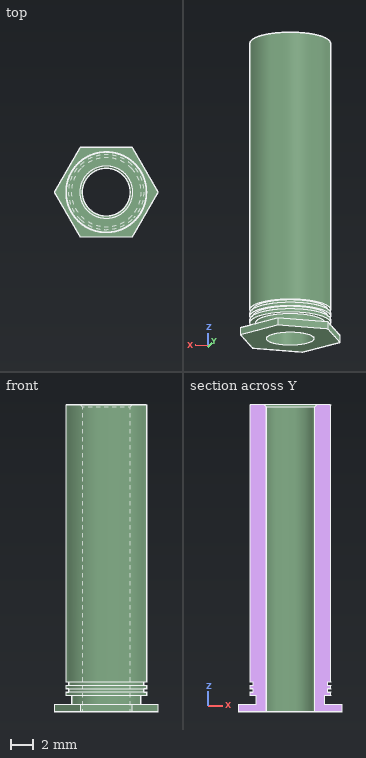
import cadquery as cq
import math

total_height = 27.0
hex_across_flats = 7.9
hex_height = 0.65
hex_across_corners = hex_across_flats / math.cos(math.pi / 6)

barrel_diameter = 7.13
barrel_chamfer = 0.05
neck_diameter = 6.1
neck_top = 1.43
groove_diameter = 6.6
groove_count = 2
groove_width = 0.3
ring_width = 0.3

bore_diameter = 4.18
bore_chamfer = 0.22


def cylinder(diameter, bottom, top):
    """Solid cylinder on the Z axis between two heights."""
    return cq.Workplane("XY").workplane(offset=bottom).circle(diameter / 2).extrude(top - bottom)


def groove(bottom):
    """Annular cutter for one groove around the barrel."""
    top = bottom + groove_width
    return cylinder(barrel_diameter, bottom, top).cut(cylinder(groove_diameter, bottom, top))


head = cq.Workplane("XY").polygon(6, hex_across_corners).extrude(hex_height)

body = head.union(cylinder(neck_diameter, 0, neck_top))
body = body.union(cylinder(barrel_diameter, neck_top, total_height))

for index in range(groove_count):
    groove_bottom = neck_top + ring_width + index * (ring_width + groove_width)
    body = body.cut(groove(groove_bottom))

body = body.cut(cylinder(bore_diameter, 0, total_height))
bore_rim = cq.selectors.RadiusNthSelector(0)
barrel_rim = cq.selectors.RadiusNthSelector(-1)
body = body.faces(">Z").edges(bore_rim).chamfer(bore_chamfer)
result = body.faces(">Z").edges(barrel_rim).chamfer(barrel_chamfer)